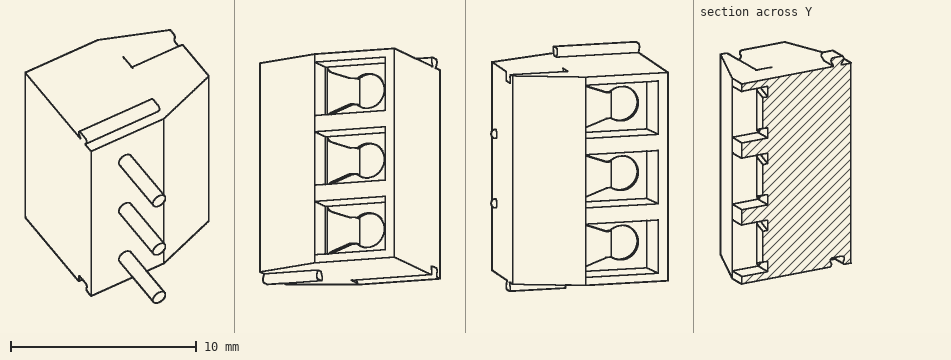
import cadquery as cq
import math


pole_count = 3
total_height = 12.43
rail_height = 0.5
body_height = total_height - 2 * rail_height
pitch = body_height / pole_count
body_width = 6.8
body_depth = 8.3
crown_inset = 1.4
shoulder_y = 4.6

pin_radius = 0.4
pin_length = 3.5
wire_axis_y = 2.15

nub_radius = 0.25
nub_x = 4.7

foot_track_x = 5.94
crown_track_x = 2.25
crown_rail_length = 3.11
crown_groove_length = 3.2
rail_flat_half = 0.25
rail_head_radius = 0.16
rail_flank_angle = math.radians(30)
groove_flat_half = 0.27
groove_radius = 0.15
groove_depth = rail_height

pocket_height = 2.92
pocket_depth = 1.6
pocket_mouth_y = 0.53
pocket_floor_y = 0.73
hole_radius = 0.95
hole_depth = 0.21

guide_height = 0.3
guide_rounding = 0.4
guide_back_y = 4.49
guide_flare_y = guide_back_y - math.sqrt(guide_rounding ** 2 - (guide_rounding - guide_height) ** 2)
guide_neck_y = 3.06
guide_tip_y = 2.7
guide_back_half = 1.4
guide_flare_half = 1.08
guide_tip_half = 0.71
guide_flare_bow = 0.06


def arc_point(center, radius, angle):
    return (center[0] + radius * math.cos(angle), center[1] + radius * math.sin(angle))


def mirrored(point):
    return (-point[0], point[1])


def end_plane(x, y, z, direction):
    """Plane normal to Y at the given spot, its local Y axis pointing up or down along Z."""
    return cq.Plane(origin=(x, y, z), xDir=(-direction, 0, 0), normal=(0, 1, 0))


def rail(x, y_start, length, z, direction):
    """Dovetail rail with a rounded head, standing on an end face."""
    center = (rail_flat_half, rail_height - rail_head_radius)
    flank_top = arc_point(center, rail_head_radius, -rail_flank_angle)
    head_mid = arc_point(center, rail_head_radius, math.radians(30))
    flat_end = (rail_flat_half, rail_height)
    root = (flank_top[0] - flank_top[1] * math.tan(rail_flank_angle), 0)
    return (
        cq.Workplane(end_plane(x, y_start, z, direction))
        .moveTo(*root)
        .lineTo(*flank_top)
        .threePointArc(head_mid, flat_end)
        .lineTo(*mirrored(flat_end))
        .threePointArc(mirrored(head_mid), mirrored(flank_top))
        .lineTo(*mirrored(root))
        .close()
        .extrude(length)
    )


def groove(x, y_start, length, z, direction):
    """Groove whose S-shaped walls round over at the mouth, narrow to a neck and widen below it."""
    lip_drop = groove_depth - 2 * groove_radius
    lip_offset = math.sqrt((2 * groove_radius) ** 2 - lip_drop ** 2)
    bulge_center = (groove_flat_half, groove_depth - groove_radius)
    lip_center = (groove_flat_half + lip_offset, groove_radius)
    mouth = (lip_center[0], 0)
    neck = (lip_center[0] - groove_radius, groove_radius)
    inflection = ((lip_center[0] + bulge_center[0]) / 2, groove_depth / 2)
    bulge = (groove_flat_half + groove_radius, bulge_center[1])
    floor = (groove_flat_half, groove_depth)
    return (
        cq.Workplane(end_plane(x, y_start, z, direction))
        .moveTo(*mouth)
        .threePointArc(neck, inflection)
        .threePointArc(bulge, floor)
        .lineTo(*mirrored(floor))
        .threePointArc(mirrored(bulge), mirrored(inflection))
        .threePointArc(mirrored(neck), mirrored(mouth))
        .close()
        .extrude(length)
    )


def housing():
    return (
        cq.Workplane("XY")
        .polyline([
            (0, 0),
            (body_width, 0),
            (body_width, shoulder_y),
            (body_width - crown_inset, body_depth),
            (crown_inset, body_depth),
            (0, shoulder_y),
        ])
        .close()
        .extrude(body_height)
    )


def wire_pocket(z):
    """Pocket with a sloping foot wall and a round wire hole sunk in its floor."""
    recess = (
        cq.Workplane("XY", origin=(0, 0, z - pocket_height / 2))
        .polyline([
            (0, pocket_mouth_y),
            (pocket_depth, pocket_floor_y),
            (pocket_depth, shoulder_y),
            (0, shoulder_y),
        ])
        .close()
        .extrude(pocket_height)
    )
    hole = (
        cq.Workplane("YZ", origin=(pocket_depth, wire_axis_y, z))
        .circle(hole_radius)
        .extrude(hole_depth)
    )
    return recess.union(hole)


def wire_guide(z):
    """Rib that flares towards the crown and is rounded over at both ends."""
    top_x = pocket_depth - guide_height
    base_x = pocket_depth + hole_depth
    flare_mid = (
        (guide_back_y + guide_flare_y) / 2,
        (guide_back_half + guide_flare_half) / 2 - guide_flare_bow,
    )
    outline = (
        cq.Workplane("YZ", origin=(top_x, 0, z))
        .moveTo(guide_back_y, guide_back_half)
        .threePointArc(flare_mid, (guide_flare_y, guide_flare_half))
        .lineTo(guide_neck_y, guide_tip_half)
        .lineTo(guide_tip_y, guide_tip_half)
        .lineTo(guide_tip_y, -guide_tip_half)
        .lineTo(guide_neck_y, -guide_tip_half)
        .lineTo(guide_flare_y, -guide_flare_half)
        .threePointArc((flare_mid[0], -flare_mid[1]), (guide_back_y, -guide_back_half))
        .close()
        .extrude(base_x - top_x)
    )
    rounding_x = top_x + guide_rounding
    nose_center = (rounding_x, guide_tip_y + guide_rounding)
    nose_mid = arc_point(nose_center, guide_rounding, math.radians(225))
    back_angle = math.asin((guide_back_y - guide_flare_y) / guide_rounding)
    back_mid = arc_point((rounding_x, guide_flare_y), guide_rounding, math.pi - back_angle / 2)
    side_profile = (
        cq.Workplane("XY", origin=(0, 0, z - guide_back_half))
        .moveTo(base_x, guide_tip_y)
        .lineTo(rounding_x, guide_tip_y)
        .threePointArc(nose_mid, (top_x, nose_center[1]))
        .lineTo(top_x, guide_flare_y)
        .threePointArc(back_mid, (pocket_depth, guide_back_y))
        .lineTo(base_x, guide_back_y)
        .close()
        .extrude(2 * guide_back_half)
    )
    return outline.intersect(side_profile)


def pin(z):
    return (
        cq.Workplane("YZ", origin=(body_width, wire_axis_y, z))
        .circle(pin_radius)
        .extrude(pin_length)
    )


def nub(z):
    return cq.Workplane("XY", origin=(nub_x, body_depth, z)).sphere(nub_radius)


result = housing()

for pole in range(pole_count):
    pole_z = (pole + 0.5) * pitch
    result = result.cut(wire_pocket(pole_z)).union(wire_guide(pole_z)).union(pin(pole_z))

for joint in range(1, pole_count):
    result = result.union(nub(joint * pitch))

crown_groove_y = body_depth - crown_groove_length
crown_rail_y = body_depth - crown_rail_length
result = result.cut(groove(crown_track_x, crown_groove_y, crown_groove_length, body_height, -1))
result = result.cut(groove(foot_track_x, 0, shoulder_y, 0, 1))
result = result.union(rail(foot_track_x, 0, shoulder_y, body_height, 1))
result = result.union(rail(crown_track_x, crown_rail_y, crown_rail_length, 0, -1))